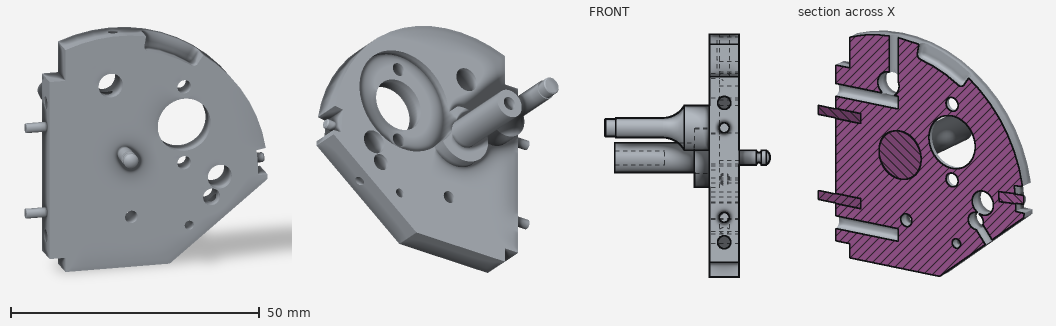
import cadquery as cq
import math


cut_clearance = 3.0

plate_thickness = 6.0
mid_thickness = plate_thickness / 2
rim_radius = 31.0
rim_y = 14.38
rim_z = 17.82
rim_middle_angle = 45
edge_step = 3.3
front_edge_bottom = 3.0
front_edge_top = 40.3
bevel_bottom_y = 25.0
bevel_top_z = 16.15

bore_y = 28.0
bore_z = 29.0
bore_diameter = 11.0
recess_radius = 11.0
recess_depth = 2.0
flange_relief = 3.15
bore_screw_diameter = 2.8
bore_screw_offset = 8.0

clamp_hole = (33.7, 13.35, 3.5)
upper_hole = (12.7, 38.5, 5.0)
plain_holes = [
    upper_hole,
    (35.4, 17.45, 5.0),
    (29.05, 7.75, 1.9),
    (17.0, 10.5, 2.6),
]

edge_screw_diameter = 2.6
clamp_screw_diameter = 2.0
clamp_screw_depth = 10.0
edge_screw_depth = 15.0
edge_screw_heights = (7.0, 35.0)
top_hole_diameter = 2.0
top_hole_y = 14.0

notch_floor_radius = 29.0
notch_angle = 3.9
notch_half_angle = 5.2
pocket_floor_radius = 28.0
pocket_start_angle = 55.4
pocket_end_angle = 79.4
pocket_web = 1.5
pocket_fillet = 1.0

dowel_diameter = 2.0
dowel_length_out = 4.2
dowel_length_in = 6.0
dowel_heights = (12.0, 30.0)
rim_pin_diameter = 2.0
rim_pin_length_in = 4.0
rim_pin_chamfer = 0.25

post_y = 15.5
post_z = 24.0
post_radius = 3.0
post_length = 19.0
post_bore_diameter = 2.8
post_bore_depth = 10.0
flange_radius = 6.0
flange_thickness = 3.0
spigot_radius = 5.0
tail_radius = 1.5
tail_end = 12.25
tail_dome_start = 11.4
tail_groove_x = 9.97
tail_groove_radius = 0.5

stud_y = 6.5
stud_z = 30.0
stud_length = 21.0
stud_base_radius = 4.5
stud_base_length = 5.0
stud_shank_radius = 2.0
stud_cove_radius = 5.0
stud_tip_radius = 1.8
stud_tip_length = 2.25
stud_tip_chamfer = 0.2


bevel_top_y = rim_y + math.sqrt(rim_radius**2 - (bevel_top_z - rim_z) ** 2)
bevel_angle = math.atan2(bevel_top_z, bevel_top_y - bevel_bottom_y)
bevel_normal = (0, math.sin(bevel_angle), -math.cos(bevel_angle))
notch_direction = (0, math.cos(math.radians(notch_angle)), math.sin(math.radians(notch_angle)))


def rod(y, z, radius, x_start, x_end):
    """Cylinder along X."""
    return (
        cq.Workplane("YZ", origin=(x_start, y, z))
        .circle(radius)
        .extrude(x_end - x_start)
    )


def rod_along(start, direction, radius, length):
    """Cylinder from a start point along any direction."""
    return cq.Workplane(cq.Solid.makeCylinder(radius, length, cq.Vector(*start), cq.Vector(*direction)))


def rim_point(radius, angle):
    """(y, z) of a point at a radius and angle about the rim centre."""
    a = math.radians(angle)
    return (rim_y + radius * math.cos(a), rim_z + radius * math.sin(a))


def rim_sector(inner, outer, start, end, x_start, x_end):
    """Ring sector about the rim centre, with radial ends."""
    middle = (start + end) / 2
    return (
        cq.Workplane("YZ", origin=(x_start, 0, 0))
        .moveTo(*rim_point(inner, start))
        .lineTo(*rim_point(outer, start))
        .threePointArc(rim_point(outer, middle), rim_point(outer, end))
        .lineTo(*rim_point(inner, end))
        .threePointArc(rim_point(inner, middle), rim_point(inner, start))
        .close()
        .extrude(x_end - x_start)
    )


def turned(profile, y, z):
    """Revolve an (x, radius) profile about the X axis through (y, z)."""
    return profile.close().revolve(360, (0, 0, 0), (1, 0, 0)).translate((0, y, z))


def plate_blank():
    """Plate with its curved rim, bevelled corner and stepped front edge."""
    rim_end_z = rim_z + math.sqrt(rim_radius**2 - (rim_y - edge_step) ** 2)
    return (
        cq.Workplane("YZ")
        .moveTo(edge_step, 0)
        .lineTo(bevel_bottom_y, 0)
        .lineTo(bevel_top_y, bevel_top_z)
        .threePointArc(rim_point(rim_radius, rim_middle_angle), (edge_step, rim_end_z))
        .lineTo(edge_step, front_edge_top)
        .lineTo(0, front_edge_top)
        .lineTo(0, front_edge_bottom)
        .lineTo(edge_step, front_edge_bottom)
        .close()
        .extrude(plate_thickness)
    )


def rim_pocket():
    """Curved pocket open to the rim and the back face, with rounded floor edges."""
    return (
        rim_sector(
            pocket_floor_radius,
            rim_radius + cut_clearance,
            pocket_start_angle,
            pocket_end_angle,
            pocket_web,
            plate_thickness + cut_clearance,
        )
        .edges("|X")
        .edges("<Z or <Y")
        .fillet(pocket_fillet)
        .faces("<X")
        .edges()
        .fillet(pocket_fillet)
    )


def make_plate():
    """Plate with all its holes, rim cuts and seats for the other bodies."""
    plate = plate_blank()

    plate = plate.cut(rod(bore_y, bore_z, bore_diameter / 2, 0, plate_thickness))
    plate = plate.cut(rod(bore_y, bore_z, recess_radius, 0, recess_depth))
    for offset in (-bore_screw_offset, bore_screw_offset):
        plate = plate.cut(rod(bore_y, bore_z + offset, bore_screw_diameter / 2, 0, plate_thickness))

    for y, z, diameter in [clamp_hole, *plain_holes]:
        plate = plate.cut(rod(y, z, diameter / 2, 0, plate_thickness))

    for z in edge_screw_heights:
        plate = plate.cut(
            rod_along((mid_thickness, 0, z), (0, 1, 0), edge_screw_diameter / 2, edge_screw_depth)
        )

    clamp_y, clamp_z, _ = clamp_hole
    plate = plate.cut(
        rod_along((mid_thickness, clamp_y, clamp_z), bevel_normal, clamp_screw_diameter / 2, clamp_screw_depth)
    )

    _, top_hole_end_z, _ = upper_hole
    top_hole_depth = rim_z + rim_radius + cut_clearance - top_hole_end_z
    plate = plate.cut(
        rod_along((mid_thickness, top_hole_y, top_hole_end_z), (0, 0, 1), top_hole_diameter / 2, top_hole_depth)
    )

    notch = rim_sector(
        notch_floor_radius,
        rim_radius + cut_clearance,
        notch_angle - notch_half_angle,
        notch_angle + notch_half_angle,
        0,
        plate_thickness,
    )
    plate = plate.cut(notch).cut(rim_pocket())

    plate = plate.cut(rod(post_y, post_z, spigot_radius, 0, plate_thickness))
    for z in dowel_heights:
        plate = plate.cut(make_dowel(z))
    return plate.cut(make_rim_pin())


def make_dowel(z):
    """Straight pin standing out of the front edge."""
    return rod_along(
        (mid_thickness, -dowel_length_out, z),
        (0, 1, 0),
        dowel_diameter / 2,
        dowel_length_out + dowel_length_in,
    )


def make_rim_pin():
    """Radial pin standing in the rim notch, its end level with the rim."""
    start_radius = notch_floor_radius - rim_pin_length_in
    start = (mid_thickness, *rim_point(start_radius, notch_angle))
    pin = rod_along(start, notch_direction, rim_pin_diameter / 2, rim_radius - start_radius)
    return pin.faces(">Y").chamfer(rim_pin_chamfer)


def make_post():
    """Hollow post with a flange, a spigot through the plate and a grooved, domed tail."""
    dome_height = tail_end - tail_dome_start
    dome_radius = (tail_radius**2 + dome_height**2) / (2 * dome_height)
    dome_mid_x = tail_dome_start + dome_height / 2
    dome_mid_r = math.sqrt(dome_radius**2 - (dome_radius - dome_height / 2) ** 2)
    profile = (
        cq.Workplane("XY")
        .moveTo(-post_length, 0)
        .lineTo(-post_length, post_radius)
        .lineTo(-flange_thickness, post_radius)
        .lineTo(-flange_thickness, flange_radius)
        .lineTo(0, flange_radius)
        .lineTo(0, spigot_radius)
        .lineTo(plate_thickness, spigot_radius)
        .lineTo(plate_thickness, tail_radius)
        .lineTo(tail_groove_x - tail_groove_radius, tail_radius)
        .threePointArc(
            (tail_groove_x, tail_radius - tail_groove_radius),
            (tail_groove_x + tail_groove_radius, tail_radius),
        )
        .lineTo(tail_dome_start, tail_radius)
        .threePointArc((dome_mid_x, dome_mid_r), (tail_end, 0))
    )
    post = turned(profile, post_y, post_z)
    bore = rod(post_y, post_z, post_bore_diameter / 2, -post_length, post_bore_depth - post_length)
    relief = rod(bore_y, bore_z, recess_radius, -flange_relief, recess_depth)
    return post.cut(bore).cut(relief)


def make_stud():
    """Stepped stud standing on the plate face, its base flowing into the shank by a cove."""
    rise = stud_base_radius - stud_shank_radius
    cove_angle = math.acos(1 - rise / stud_cove_radius)
    cove_start = -stud_base_length - stud_cove_radius * math.sin(cove_angle)
    cove_mid = (
        cove_start + stud_cove_radius * math.sin(cove_angle / 2),
        stud_shank_radius + stud_cove_radius * (1 - math.cos(cove_angle / 2)),
    )
    tip_start = stud_tip_length - stud_length
    profile = (
        cq.Workplane("XY")
        .moveTo(-stud_length, 0)
        .lineTo(-stud_length, stud_tip_radius - stud_tip_chamfer)
        .lineTo(stud_tip_chamfer - stud_length, stud_tip_radius)
        .lineTo(tip_start, stud_tip_radius)
        .lineTo(tip_start, stud_shank_radius)
        .lineTo(cove_start, stud_shank_radius)
        .threePointArc(cove_mid, (-stud_base_length, stud_base_radius))
        .lineTo(0, stud_base_radius)
        .lineTo(0, 0)
    )
    return turned(profile, stud_y, stud_z)


plate = make_plate()
post = make_post()
stud = make_stud()
rim_pin = make_rim_pin()
dowels = [make_dowel(z) for z in dowel_heights]

result = cq.Compound.makeCompound(
    [
        plate.val(),
        post.val(),
        stud.val(),
        rim_pin.val(),
        *[dowel.val() for dowel in dowels],
    ]
)